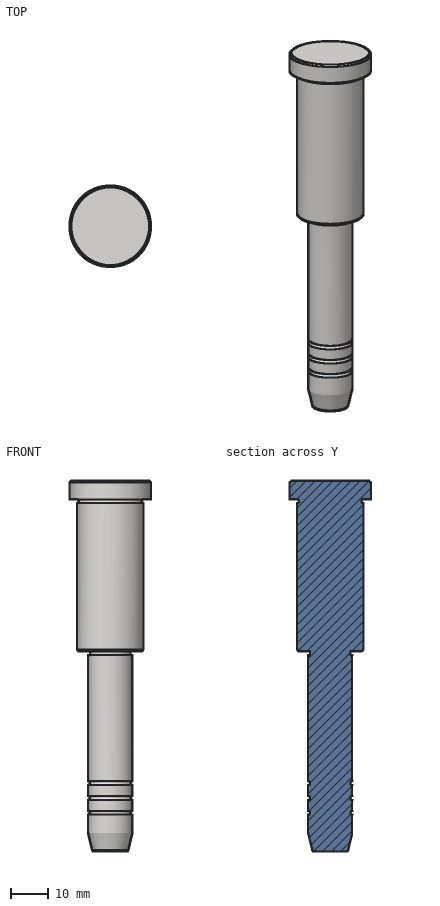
import cadquery as cq

total_length = 100.0

head_radius = 11.0
head_thickness = 5.0
head_chamfer = 0.5

body_radius = 9.0
body_length = 41.0
body_chamfer = 0.5

groove_width = 1.0
groove_radius = groove_width / 2

shank_radius = 6.0
neck_radius = 5.5
neck_length = 1.0
groove_count = 3
groove_pitch = 4.0
lowest_groove_bottom = 10.0

tip_length = 5.0
tip_chamfer_height = 0.4
tip_radius = 4.6
taper_end_radius = 4.9

head_bottom = total_length - head_thickness
body_bottom = head_bottom - body_length
neck_bottom = body_bottom - neck_length


def cylinder(radius, bottom, top):
    return cq.Workplane("XY").workplane(offset=bottom).circle(radius).extrude(top - bottom)


def ring_groove(surface_radius, bottom):
    """Torus centred on the surface, cutting a semicircular groove upward from bottom."""
    torus = cq.Solid.makeTorus(surface_radius, groove_radius)
    return torus.translate(cq.Vector(0, 0, bottom + groove_radius))


def make_head():
    head = cylinder(head_radius, head_bottom, total_length)
    return head.faces(">Z").edges().chamfer(head_chamfer)


def make_body():
    body = cylinder(body_radius, body_bottom, head_bottom)
    body = body.faces("<Z").edges().chamfer(body_chamfer)
    return body.cut(ring_groove(body_radius, head_bottom - groove_width))


def make_shank():
    neck = cylinder(neck_radius, neck_bottom, body_bottom)
    shank = cylinder(shank_radius, tip_length, neck_bottom).union(neck)
    for index in range(groove_count):
        groove_bottom = lowest_groove_bottom + index * groove_pitch
        shank = shank.cut(ring_groove(shank_radius, groove_bottom))
    return shank


def make_tip():
    """Conical lead-in with a small chamfer around its end face."""
    return (
        cq.Workplane("XZ")
        .lineTo(tip_radius, 0)
        .lineTo(taper_end_radius, tip_chamfer_height)
        .lineTo(shank_radius, tip_length)
        .lineTo(0, tip_length)
        .close()
        .revolve(360, (0, 0, 0), (0, 1, 0))
    )


result = make_head().union(make_body()).union(make_shank()).union(make_tip())